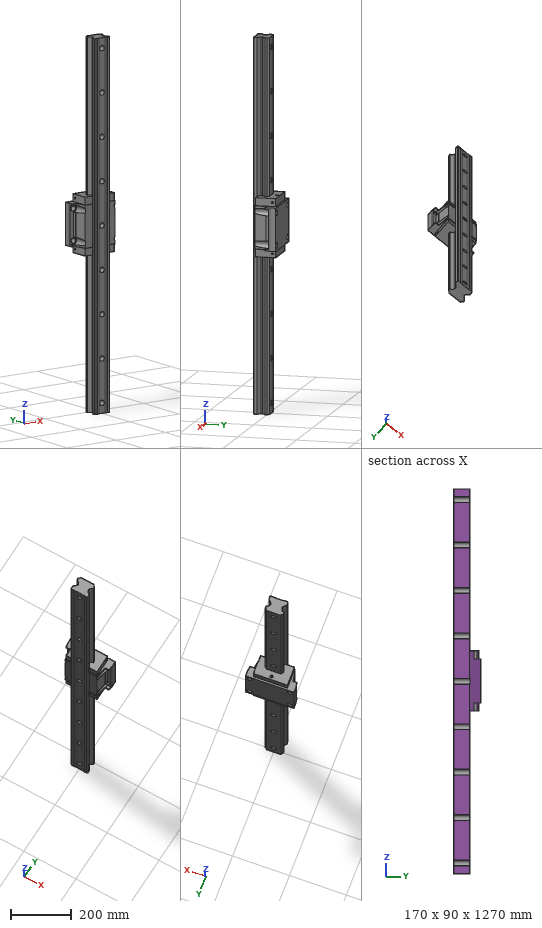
import cadquery as cq

rail_length = 1270.0
rail_height = 53.0
rail_half_width = 32.0
base_chamfer = 3.0
base_shoulder_y = 13.0

neck_half_width = 20.0
neck_bottom_y = 23.0
neck_top_y = 28.0
race_bottom_half_width = 22.0
race_bottom_y = 32.0
head_bottom_y = 40.0
head_top_y = 47.0
crown_half_width = 25.0
race_sag = 1.0

groove_half_width = 20.0
groove_step_outer_x = 13.0
groove_step_inner_x = 10.0
groove_depth = 1.0
groove_step_depth = groove_depth / 2

rail_hole_diameter = 18.0
rail_hole_count = 9
rail_hole_pitch = 150.0

carriage_top_y = 90.0
carriage_bottom_y = 13.0
carriage_length = 200.0
carriage_z = 1.0
body_length = 146.0
flange_half_width = 85.0
flange_lip_half_width = 83.0
flange_edge_y = 71.0
flange_bottom_y = 53.0
wall_top_half_width = 69.0
wall_bottom_half_width = 61.0

cap_half_width = 60.0
cap_top_drop = 7.0
cap_top_y = carriage_top_y - cap_top_drop
cap_bottom_y = 15.0
cap_length = (carriage_length - body_length) / 2
cap_middle_z = (carriage_length - cap_length) / 2

bolt_x = 71.0
bolt_z = 55.0
bolt_hole_diameter = 18.0
relief_diameter = 25.0
relief_floor_y = 65.0
relief_wall_draft = 1.0

port_y = 72.0
end_port_diameter = 9.0
side_port_diameter = 5.2
side_port_depth = 13.0


def extrude_along_z(section, length):
    """Extrude an XY section symmetrically about Z = 0."""
    return section.extrude(length / 2, both=True)


def cylinder(diameter, length, start, direction):
    solid = cq.Solid.makeCylinder(diameter / 2, length, cq.Vector(*start), cq.Vector(*direction))
    return cq.Workplane(obj=solid)


def cylinder_along_y(x, z, diameter, bottom, top):
    return cylinder(diameter, top - bottom, (x, bottom, z), (0, 1, 0))



def sunk_middle(start, end):
    """Middle point of a ball race arc, moved off its chord to the left of the direction of travel."""
    chord = cq.Vector(*end) - cq.Vector(*start)
    inward = cq.Vector(-chord.y, chord.x).normalized() * race_sag
    middle = (cq.Vector(*start) + cq.Vector(*end)) * 0.5 + inward
    return (middle.x, middle.y)


def rail_section():
    """Closed rail outline: grooved base, narrow neck and a head with two ball races per side."""
    race_bottom = (race_bottom_half_width, race_bottom_y)
    head_bottom = (rail_half_width, head_bottom_y)
    head_top = (rail_half_width, head_top_y)
    crown = (crown_half_width, rail_height)
    right_half = (
        cq.Workplane("XY")
        .moveTo(0, groove_depth)
        .lineTo(groove_step_inner_x, groove_depth)
        .lineTo(groove_step_outer_x, groove_step_depth)
        .lineTo(groove_half_width, groove_step_depth)
        .lineTo(groove_half_width, 0)
        .lineTo(rail_half_width - base_chamfer, 0)
        .lineTo(rail_half_width, base_chamfer)
        .lineTo(rail_half_width, base_shoulder_y)
        .lineTo(neck_half_width, neck_bottom_y)
        .lineTo(neck_half_width, neck_top_y)
        .lineTo(*race_bottom)
        .threePointArc(sunk_middle(race_bottom, head_bottom), head_bottom)
        .lineTo(*head_top)
        .threePointArc(sunk_middle(head_top, crown), crown)
        .lineTo(0, rail_height)
    )
    return right_half.mirrorY()


def make_rail_bar():
    return extrude_along_z(rail_section(), rail_length)


def make_rail():
    rail = make_rail_bar()
    first_hole_z = -rail_hole_pitch * (rail_hole_count - 1) / 2
    for index in range(rail_hole_count):
        hole_z = first_hole_z + index * rail_hole_pitch
        rail = rail.cut(cylinder_along_y(0, hole_z, rail_hole_diameter, 0, rail_height))
    return rail



def make_body():
    """Body with a tapered flange on each side, above sloping walls."""
    right_half = [
        (wall_bottom_half_width, carriage_bottom_y),
        (wall_top_half_width, flange_bottom_y),
        (flange_lip_half_width, flange_bottom_y),
        (flange_half_width, flange_edge_y),
        (flange_half_width, carriage_top_y),
    ]
    left_half = [(-x, y) for x, y in reversed(right_half)]
    outline = cq.Workplane("XY").polyline(right_half + left_half).close()
    return extrude_along_z(outline, body_length)


def make_end_caps():
    """Block running the whole carriage length; its two ends beyond the body are the caps."""
    section = (
        cq.Workplane("XY")
        .center(0, (cap_top_y + cap_bottom_y) / 2)
        .rect(2 * cap_half_width, cap_top_y - cap_bottom_y)
    )
    return extrude_along_z(section, carriage_length)


def flange_relief(side):
    """Underside pocket of one flange: open outwards, with a round clearance at each bolt."""
    pocket_section = cq.Workplane("XY").polyline([
        (side * (bolt_x - relief_wall_draft), flange_bottom_y),
        (side * bolt_x, relief_floor_y),
        (side * flange_half_width, relief_floor_y),
        (side * flange_half_width, flange_bottom_y),
    ]).close()
    relief = extrude_along_z(pocket_section, 2 * bolt_z + relief_diameter)
    for end in (-1, 1):
        clearance = cylinder_along_y(
            side * bolt_x, end * bolt_z, relief_diameter, carriage_bottom_y, relief_floor_y
        )
        relief = relief.union(clearance)
    return relief


def bolt_hole(side, end):
    return cylinder_along_y(side * bolt_x, end * bolt_z, bolt_hole_diameter, relief_floor_y, carriage_top_y)


def side_port(side, end):
    start = (side * cap_half_width, port_y, end * cap_middle_z)
    return cylinder(side_port_diameter, side_port_depth, start, (-side, 0, 0))


def end_port(end):
    """Port as deep as the end cap."""
    start = (0, port_y, end * carriage_length / 2)
    return cylinder(end_port_diameter, cap_length, start, (0, 0, -end))


def make_carriage():
    carriage = make_body().union(make_end_caps())
    carriage = carriage.cut(make_rail_bar())
    for side in (-1, 1):
        carriage = carriage.cut(flange_relief(side))
        for end in (-1, 1):
            carriage = carriage.cut(bolt_hole(side, end))
            carriage = carriage.cut(side_port(side, end))
    for end in (-1, 1):
        carriage = carriage.cut(end_port(end))
    return carriage.translate((0, 0, carriage_z))


rail = make_rail()
carriage = make_carriage()

result = cq.Compound.makeCompound([*rail.solids().vals(), *carriage.solids().vals()])